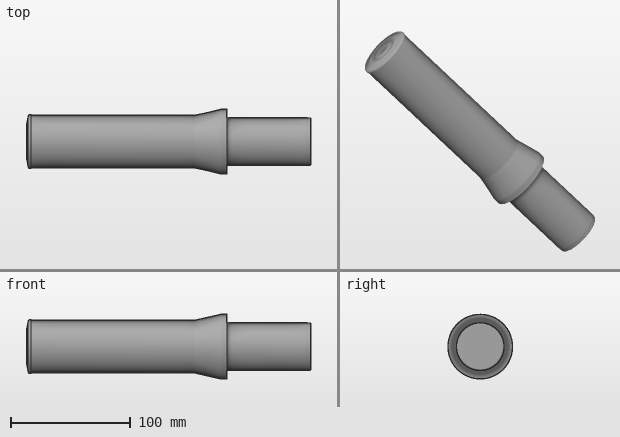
import cadquery as cq
import math

overall_length = 237.0
shoulder_radius = 54.0 / 2
grip_radius = 44.0 / 2
rim_radius = 45.0 / 2
core_radius = 40.0 / 2
relief_radius = 39.5 / 2

rim_end = 3.6
taper_start = 140.0
taper_end = 162.0
sleeve_end = 167.0
rim_round = 1.7
blend_round = 3.0

undercut_end = 168.8
lead_start = 233.4
relief_ramp_angle = 15.0
relief_ramp = (core_radius - relief_radius) / math.tan(math.radians(relief_ramp_angle))
end_round = 1.0

face_crest_radius = 14.3
groove_bottom_radius = 10.4
inner_crest_radius = 7.2
face_slope = 0.19
groove_depth = 0.7
dish_depth = 0.9


def face_x(radius):
    """X of the conical struck face at a radius outside its crest."""
    return face_slope * (radius - face_crest_radius)


def turned_body(corners):
    """Solid of revolution about X from (x, radius, rounding) corners; rounding 0 is sharp."""
    start_x, start_radius, _ = corners[0]
    profile = cq.Workplane("XZ").moveTo(start_x, start_radius)
    for previous, corner, following in zip(corners, corners[1:], corners[2:] + corners[:1]):
        vertex = cq.Vector(*corner[:2])
        rounding = corner[2]
        if rounding == 0:
            profile = profile.lineTo(vertex.x, vertex.y)
            continue
        toward_previous = (cq.Vector(*previous[:2]) - vertex).normalized()
        toward_following = (cq.Vector(*following[:2]) - vertex).normalized()
        half_angle = toward_previous.getAngle(toward_following) / 2
        tangent_length = rounding / math.tan(half_angle)
        middle_distance = rounding / math.sin(half_angle) - rounding
        arc_start = vertex + toward_previous * tangent_length
        arc_middle = vertex + (toward_previous + toward_following).normalized() * middle_distance
        arc_end = vertex + toward_following * tangent_length
        profile = profile.lineTo(arc_start.x, arc_start.y)
        profile = profile.threePointArc((arc_middle.x, arc_middle.y), (arc_end.x, arc_end.y))
    return profile.close().revolve(360, (0, 0, 0), (1, 0, 0))


sleeve = turned_body([
    (face_x(core_radius), core_radius, 0),
    (face_x(rim_radius), rim_radius, rim_round),
    (rim_end, rim_radius, 0),
    (rim_end, grip_radius, 0),
    (taper_start, grip_radius, blend_round),
    (taper_end, shoulder_radius, blend_round),
    (sleeve_end, shoulder_radius, 0),
    (sleeve_end, core_radius, 0),
])

core = turned_body([
    (dish_depth, 0, 0),
    (0, inner_crest_radius, 0),
    (groove_depth, groove_bottom_radius, 0),
    (0, face_crest_radius, 0),
    (face_x(core_radius), core_radius, 0),
    (sleeve_end, core_radius, 0),
    (sleeve_end, relief_radius, 0),
    (undercut_end - relief_ramp, relief_radius, blend_round),
    (undercut_end, core_radius, 0),
    (lead_start, core_radius, 0),
    (lead_start + relief_ramp, relief_radius, blend_round),
    (overall_length, relief_radius, end_round),
    (overall_length, 0, 0),
])

result = cq.Compound.makeCompound([sleeve.val(), core.val()])